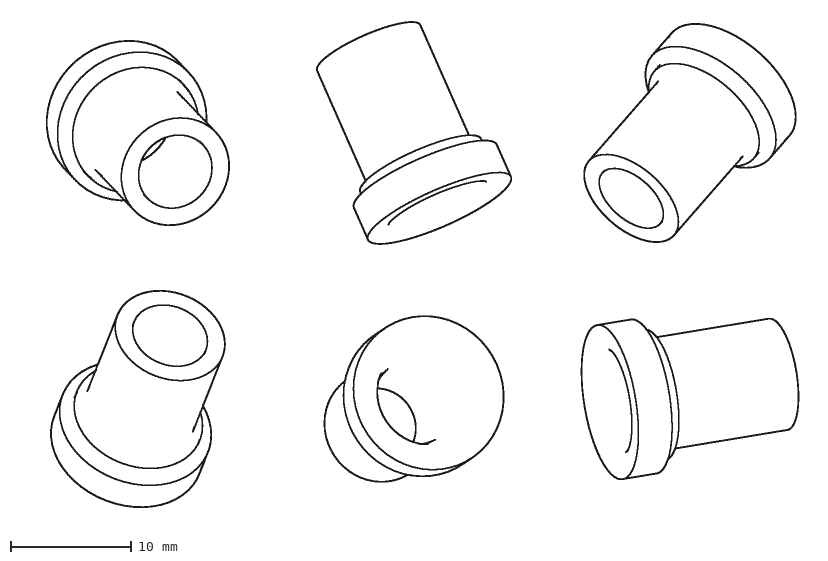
import cadquery as cq
import math

length = 15.0
flange_diameter = 13.0
flange_thickness = 3.0
collar_diameter = 11.0
collar_end = 4.0
shank_diameter = 9.4

flange_fillet = 0.1
shank_fillet = 0.5

mouth_diameter = 10.4
mouth_radius = 1.0
lead_in_angle = math.radians(11)
lead_in_depth = 4.2
throat_diameter = 7.1
outlet_diameter = 6.4


def cylinder(diameter, end):
    return cq.Workplane("YZ").circle(diameter / 2).extrude(end)


def fillet_ring(base_diameter, start, radius):
    """Concave quarter-round ring joining a shoulder face to a smaller cylinder."""
    base = base_diameter / 2
    arc_offset = radius * (1 - math.sqrt(0.5))
    return (
        cq.Workplane("XY")
        .moveTo(start, 0)
        .lineTo(start, base + radius)
        .threePointArc((start + arc_offset, base + arc_offset), (start + radius, base))
        .lineTo(start + radius, 0)
        .close()
        .revolve(360, (0, 0, 0), (1, 0, 0))
    )


def mouth_point(angle):
    """Point on the mouth rounding, at an angle from its start on the front face."""
    depth = mouth_radius * (1 - math.cos(angle))
    return depth, mouth_diameter / 2 - mouth_radius * math.sin(angle)


def bore():
    mouth_sweep = math.pi / 2 - lead_in_angle
    return (
        cq.Workplane("XY")
        .moveTo(0, 0)
        .lineTo(*mouth_point(0))
        .threePointArc(mouth_point(mouth_sweep / 2), mouth_point(mouth_sweep))
        .lineTo(lead_in_depth, throat_diameter / 2)
        .lineTo(length, outlet_diameter / 2)
        .lineTo(length, 0)
        .close()
        .revolve(360, (0, 0, 0), (1, 0, 0))
    )


body = (
    cylinder(shank_diameter, length)
    .union(cylinder(collar_diameter, collar_end))
    .union(cylinder(flange_diameter, flange_thickness))
    .union(fillet_ring(collar_diameter, flange_thickness, flange_fillet))
    .union(fillet_ring(shank_diameter, collar_end, shank_fillet))
)
result = body.cut(bore())